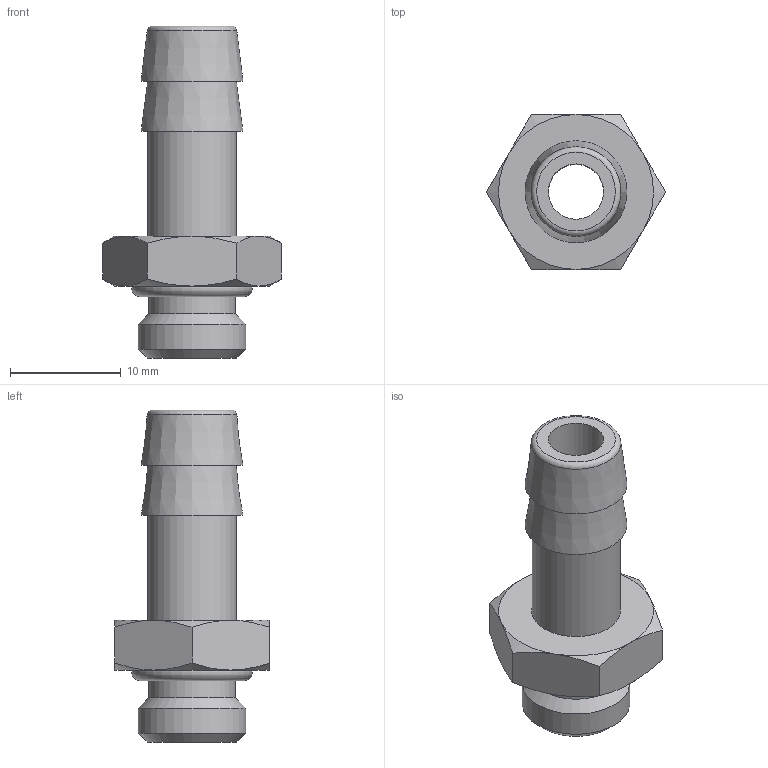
import cadquery as cq
import math

total_height = 30.0
hex_bottom = 6.5
hex_height = 4.5
hex_top = hex_bottom + hex_height
barb_bottom = 20.5
barb_pitch = 4.5
upper_barb_bottom = barb_bottom + barb_pitch

bore_radius = 5.0 / 2
shank_radius = 8.0 / 2
barb_radius = 9.2 / 2
neck_radius = 7.8 / 2
thread_radius = 9.73 / 2

tip_fillet = 0.5

mouth_chamfer = 0.8
neck_bottom = 4.0
thread_shoulder = neck_bottom - (thread_radius - neck_radius)

hex_flats = 14.0
hex_flat_radius = hex_flats / 2
hex_corner_radius = hex_flat_radius / math.cos(math.radians(30))
corner_chamfer_angle = 30.0
corner_chamfer_height = (hex_corner_radius - hex_flat_radius) * math.tan(math.radians(corner_chamfer_angle))

ring_section_radius = 1.5 / 2
ring_outer_radius = 10.9 / 2
ring_bottom = 5.55
ring_center_radius = ring_outer_radius - ring_section_radius
ring_center_height = ring_bottom + ring_section_radius
ring_top = ring_center_height + ring_section_radius


def revolve_profile(profile):
    """Turn a closed outline of (radius, height) about the Z axis."""
    return profile.close().revolve(360, (0, 0, 0), (0, 1, 0))


def make_stem():
    """Threaded end, neck, shank and two barbs as one turned solid."""
    profile = cq.Workplane("XZ").polyline([
        (0, 0),
        (thread_radius - mouth_chamfer, 0),
        (thread_radius, mouth_chamfer),
        (thread_radius, thread_shoulder),
        (neck_radius, neck_bottom),
        (neck_radius, hex_top),
        (shank_radius, hex_top),
        (shank_radius, barb_bottom),
        (barb_radius, barb_bottom),
        (shank_radius, upper_barb_bottom),
        (barb_radius, upper_barb_bottom),
        (shank_radius, total_height),
        (0, total_height),
    ])
    return revolve_profile(profile).faces(">Z").edges().fillet(tip_fillet)


def make_hexagon():
    """Hexagon with two corners on the X axis and both ends chamfered."""
    prism = (
        cq.Workplane("XY", origin=(0, 0, hex_bottom))
        .polygon(6, 2 * hex_corner_radius)
        .extrude(hex_height)
    )
    envelope = revolve_profile(cq.Workplane("XZ").polyline([
        (0, hex_bottom),
        (hex_flat_radius, hex_bottom),
        (hex_corner_radius, hex_bottom + corner_chamfer_height),
        (hex_corner_radius, hex_top - corner_chamfer_height),
        (hex_flat_radius, hex_top),
        (0, hex_top),
    ]))
    return prism.intersect(envelope)


def make_ring_recess():
    """Annular space in the underside of the hexagon that receives the O-ring."""
    return (
        cq.Workplane("XY", origin=(0, 0, hex_bottom))
        .circle(ring_outer_radius)
        .circle(neck_radius)
        .extrude(ring_top - hex_bottom)
    )


def make_fitting():
    """Hose barb fitting with its through bore."""
    bore = cq.Workplane("XY").circle(bore_radius).extrude(total_height)
    hexagon = make_hexagon().cut(make_ring_recess())
    return make_stem().union(hexagon).cut(bore)


def make_o_ring():
    """O-ring around the neck, under the hexagon."""
    section = cq.Workplane("XZ").center(ring_center_radius, ring_center_height).circle(ring_section_radius)
    return section.revolve(360, (-ring_center_radius, 0, 0), (-ring_center_radius, 1, 0))


fitting = make_fitting()
o_ring = make_o_ring()

result = cq.Compound.makeCompound([fitting.solids().val(), o_ring.val()])